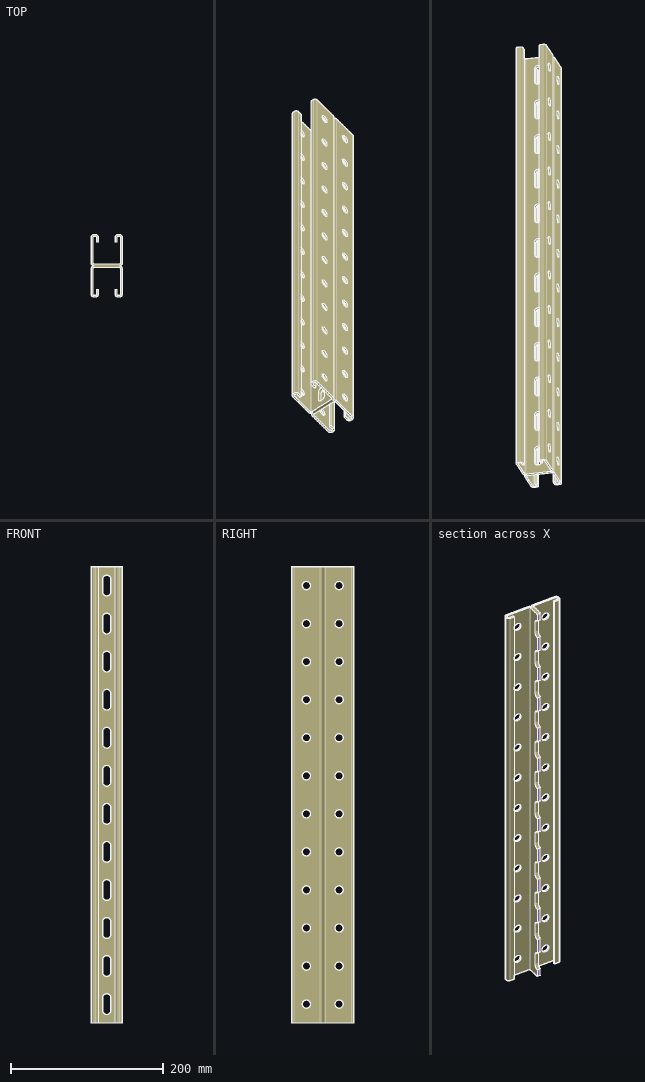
import cadquery as cq

width = 41.0
channel_depth = 41.0
length = 600.0
wall = 2.5
bend_radius = 3.5
inner_radius = bend_radius - wall
mouth_width = 22.0
lip_depth = 10.0

pitch = 50.0
hole_count = int(length / pitch)
hole_diameter = 10.5
slot_length = 27.0
hole_offset = 21.5


def box_profile(x_min, x_max, y_min, y_max):
    """Prism over the full length, centred on Z = 0."""
    return (
        cq.Workplane("XY")
        .box(x_max - x_min, y_max - y_min, length)
        .translate(((x_min + x_max) / 2, (y_min + y_max) / 2, 0))
    )


def round_edge(solid, x, y, radius):
    """Fillet the lengthwise edge that passes through (x, y)."""
    edge = solid.edges("|Z").edges(cq.selectors.NearestToPointSelector((x, y, 0)))
    return edge.fillet(radius)


def make_channel():
    """Lipped channel with its web on Y = 0 and its mouth facing +Y."""
    half_width = width / 2
    half_mouth = mouth_width / 2
    rim_inside = channel_depth - wall

    outer = box_profile(-half_width, half_width, 0, channel_depth)
    outer = outer.edges("|Z").fillet(bend_radius)
    cavity = box_profile(-half_width + wall, half_width - wall, wall, rim_inside)
    cavity = cavity.edges("|Z").fillet(inner_radius)
    mouth = box_profile(-half_mouth, half_mouth, wall, channel_depth)
    channel = outer.cut(cavity).cut(mouth)

    lip_bottom = channel_depth - lip_depth
    lip_back = half_mouth + wall
    lip = box_profile(half_mouth, lip_back, lip_bottom, channel_depth)
    channel = channel.union(lip).union(lip.mirror("YZ"))
    for side in (-1, 1):
        channel = round_edge(channel, side * half_mouth, channel_depth, bend_radius)
        channel = round_edge(channel, side * lip_back, rim_inside, inner_radius)
    return channel


def make_web_slots():
    """Cutters for the row of upright slots through the joined webs."""
    row = cq.Workplane("XZ").rarray(pitch, pitch, 1, hole_count)
    return row.slot2D(slot_length, hole_diameter, angle=90).extrude(2 * wall, both=True)


def make_flange_holes(y):
    """Cutters for the row of round holes through both flanges at the given Y."""
    row = cq.Workplane("YZ").center(y, 0).rarray(pitch, pitch, 1, hole_count)
    return row.circle(hole_diameter / 2).extrude(width, both=True)


channel = make_channel()
strut = channel.union(channel.mirror("XZ"))
result = strut.cut(make_web_slots())
for side in (-1, 1):
    result = result.cut(make_flange_holes(side * hole_offset))